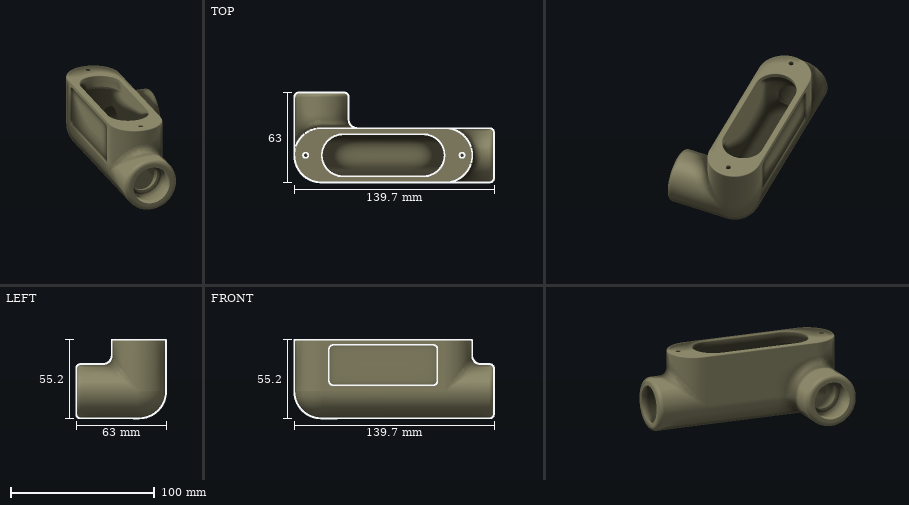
import cadquery as cq
import math

length = 139.7
depth = 63.0
height = 55.2
hub_diameter = 38.1
body_length = 124.5
hub_radius = hub_diameter / 2
back_face_y = depth - hub_radius

hub_edge_radius = 3.2
rim_radius = 0.8
throat_radius = 5.9

wall = 4.5
cavity_floor_radius = 6.4
left_deck = 10.8
right_deck = 4.5
deck_edge_radius = 2.1
opening_length = 85.8
opening_edge_radius = 0.8

bore_diameter = 26.8
bore_depth = 18.2
passage_diameter = 21.0

screw_diameter = 3.6
left_screw_x = 8.0
right_screw_x = 117.3

panel_length = 77.5
panel_height = 29.8
panel_bottom = 22.5
panel_corner_radius = 3.8
panel_recess = 1.4
panel_brink_radius = 0.8
panel_floor_radius = 0.4

left_x = hub_radius
right_x = body_length - hub_radius
middle_x = body_length / 2
hub_z = hub_radius

cavity_radius = hub_radius - wall
opening_half_span = opening_length / 2 - cavity_radius


def slot(total_length, radius, bottom_z, top_z):
    """Upright prism with semicircular ends, centred on the body."""
    return (
        cq.Workplane("XY", origin=(middle_x, 0, bottom_z))
        .slot2D(total_length, 2 * radius)
        .extrude(top_z - bottom_z)
    )


def end_hub(radius, start_x):
    """Cylinder along X that finishes at the end hub's face."""
    return cq.Workplane("YZ", origin=(start_x, 0, hub_z)).circle(radius).extrude(length - start_x)


def back_hub(radius, start_y):
    """Cylinder along Y that finishes at the back hub's face."""
    return cq.Workplane("XZ", origin=(left_x, start_y, hub_z)).circle(radius).extrude(start_y - back_face_y)


def half_elbow(leg):
    """+Y half of two equal cylinders along +X and +Z, with a fillet in their inside corner."""
    upright = cq.Workplane("XY").circle(hub_radius).extrude(leg)
    level = cq.Workplane("YZ").circle(hub_radius).extrude(leg)
    keep = cq.Workplane("XY").box(leg, hub_radius, leg, centered=False)
    elbow = upright.intersect(keep).union(level.intersect(keep))
    return elbow.edges("%ELLIPSE").fillet(throat_radius)


def outer_body():
    upper = slot(body_length, hub_radius, hub_z, height).faces(">Z").edges().fillet(rim_radius)
    end = end_hub(hub_radius, left_x).faces(">X").edges().fillet(hub_edge_radius)
    back = back_hub(hub_radius, 0).faces(">Y").edges().fillet(hub_edge_radius)
    corner = cq.Workplane("XY").sphere(hub_radius).translate((left_x, 0, hub_z))
    body = upper.union(end).union(back).union(corner)

    side = half_elbow(hub_radius + 2 * throat_radius).translate((right_x, 0, hub_z))
    body = body.union(side).union(side.mirror("XZ"))

    throat_area = cq.selectors.BoxSelector(
        (0, hub_radius / 4, 0),
        (hub_diameter, hub_radius + rim_radius, hub_diameter),
    )
    return body.edges(throat_area).fillet(throat_radius)


def cavity_space(top_z):
    return slot(body_length - 2 * wall, cavity_radius, wall, top_z)


def end_pocket(direction, deck):
    """Cavity under one deck (-1 left, 1 right), flared around the lower edge of the opening."""
    deck_z = height - deck
    pocket = cavity_space(deck_z)
    flare_axis = middle_x + direction * opening_half_span
    flare_top = deck_z + deck_edge_radius
    flare_radius = cavity_radius + deck_edge_radius
    slant = deck_edge_radius * math.sqrt(0.5)
    flare = (
        cq.Workplane("XZ", origin=(flare_axis, 0, 0))
        .moveTo(0, wall)
        .lineTo(flare_radius, wall)
        .lineTo(flare_radius, deck_z)
        .threePointArc((flare_radius - slant, flare_top - slant), (cavity_radius, flare_top))
        .lineTo(0, flare_top)
        .close()
        .revolve(360, (0, 0, 0), (0, 1, 0))
    )
    pocket = pocket.union(flare.intersect(cavity_space(flare_top)))
    end_half = cq.Workplane("XY").box(body_length, hub_diameter, 2 * height)
    return pocket.intersect(end_half.translate((middle_x + direction * body_length / 2, 0, 0)))


def cavity():
    """Hollow interior with a rounded floor, open at the top through the opening."""
    opening = slot(opening_length, cavity_radius, wall, height)
    inside = end_pocket(-1, left_deck).union(end_pocket(1, right_deck)).union(opening)
    return inside.faces("<Z").edges().fillet(cavity_floor_radius)


def bores():
    """Conduit bores, each stopping at a narrower passage into the cavity."""
    bore_radius = bore_diameter / 2
    passage_radius = passage_diameter / 2
    end_bore = end_hub(bore_radius, length - bore_depth).union(end_hub(passage_radius, right_x))
    back_bore = back_hub(bore_radius, back_face_y - bore_depth).union(back_hub(passage_radius, 0))
    return end_bore.union(back_bore)


def screw_hole(x, deck):
    return cq.Workplane("XY", origin=(x, 0, height)).circle(screw_diameter / 2).extrude(-deck)


def panel_pocket():
    """Recess tool whose outline is the vertical wall between the rounded brink and the floor fillet."""
    return (
        cq.Workplane("XZ", origin=(middle_x, panel_recess - hub_radius, panel_bottom + panel_height / 2))
        .rect(panel_length - 2 * panel_brink_radius, panel_height - 2 * panel_brink_radius)
        .extrude(panel_recess)
        .edges("|Y")
        .fillet(panel_corner_radius - panel_brink_radius)
        .faces(">Y")
        .edges()
        .fillet(panel_floor_radius)
    )


def round_panel_brink(body):
    near_side = cq.selectors.BoxSelector(
        (middle_x - panel_length / 2, -hub_radius - panel_recess / 4, panel_bottom),
        (middle_x + panel_length / 2, -hub_radius + panel_recess / 4, panel_bottom + panel_height),
    )
    return body.edges(near_side).fillet(panel_brink_radius)


def round_opening(body):
    half_size = opening_length / 2 + opening_edge_radius
    around = cq.selectors.BoxSelector(
        (middle_x - half_size, -cavity_radius - opening_edge_radius / 2, height - opening_edge_radius),
        (middle_x + half_size, cavity_radius + opening_edge_radius / 2, height + opening_edge_radius),
        boundingbox=True,
    )
    return body.edges(around).fillet(opening_edge_radius)


body = outer_body().cut(panel_pocket())
body = round_panel_brink(body)
body = body.cut(cavity())
body = round_opening(body)
body = body.cut(bores())
body = body.cut(screw_hole(left_screw_x, left_deck))
result = body.cut(screw_hole(right_screw_x, right_deck)).solids()